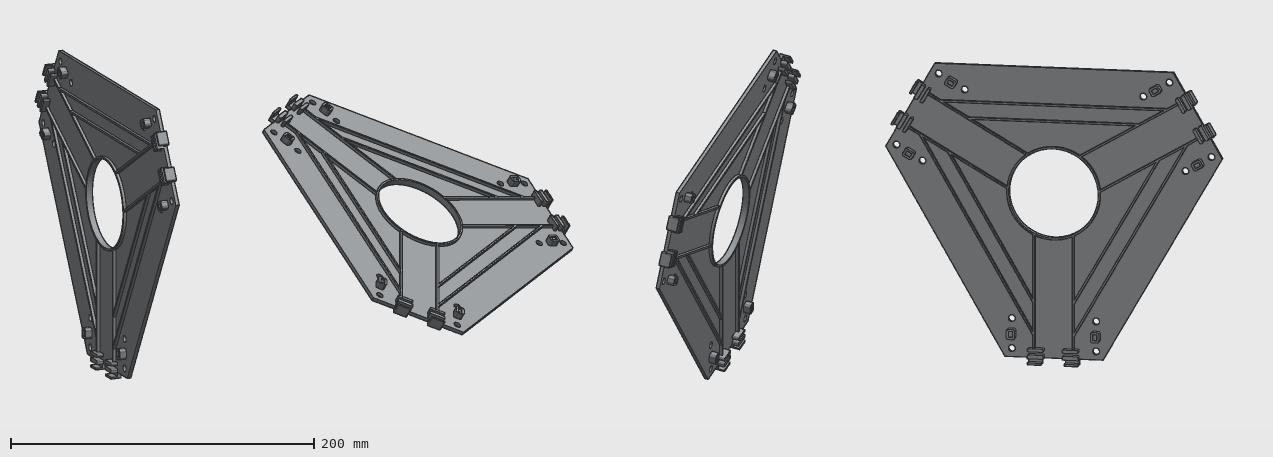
import cadquery as cq
import math

overall_width = 225.92
overall_height = 199.82
total_depth = 7.19
short_half = 32.9
plate_thickness = 2.5
bore_diameter = 60.15

COS30 = math.cos(math.radians(30))
SIN30 = math.sin(math.radians(30))
short_apothem = (overall_width / 2 - short_half * SIN30) / COS30
long_apothem = short_half * COS30 + short_apothem * SIN30

rib_height = 2.0
rib_width = 1.5
rib_draft = 3
rib_overlap = 0.5
ring_width = 1.4
ring_radius = bore_diameter / 2 + ring_width
leg_rib_inner = 12.5
leg_rib_outer = leg_rib_inner + rib_width
cross_rib_offsets = (48.4, 59.35)

clip_height = total_depth - plate_thickness
clip_outer = 17.0
clip_inner = 6.4
tongue_inner = 7.7
tongue_length = overall_height - long_apothem - short_apothem
lip_thickness = 1.4
edge_bar_width = 2.6
far_bar_start = 4.7
far_bar_width = 2.1
bar_corner = 0.8
lip_corner = 0.6

hole_diameter = 4.55
hole_x = 28.3
hole_edge_distances = (5.7, 25.9)
socket_edge_distance = 15.9
socket_width = 5.7
socket_length = 7.0
socket_corner = 1.5
socket_pocket_width = 2.7
socket_pocket_length = 3.9
socket_pocket_depth = 1.0

edge_z = -short_apothem
leg_angles = (0, 120, 240)


def face_plane(y=0):
    """Sketch plane with local x = X, local y = Z, extruding towards -Y."""
    return cq.Workplane("XZ", origin=(0, y, 0))


def box(x_min, x_max, z_min, z_max, height, draft=0):
    """Block standing on the plate face (Y = 0) and rising towards -Y."""
    return (
        face_plane()
        .center((x_min + x_max) / 2, (z_min + z_max) / 2)
        .rect(x_max - x_min, z_max - z_min)
        .extrude(height, taper=draft)
    )


def around(body, angle):
    return body.rotate((0, 0, 0), (0, 1, 0), angle)


def make_plate():
    corners = []
    for angle in leg_angles:
        turn = math.radians(angle)
        for x in (-short_half, short_half):
            corners.append((
                x * math.cos(turn) - edge_z * math.sin(turn),
                x * math.sin(turn) + edge_z * math.cos(turn),
            ))
    return face_plane(plate_thickness).polyline(corners).close().extrude(plate_thickness)


def make_leg_rib():
    far_bar_end = edge_z + far_bar_start + far_bar_width
    ring_end = -bore_diameter / 2 * COS30
    return box(leg_rib_inner, leg_rib_outer, far_bar_end - rib_overlap, ring_end, rib_height, rib_draft)


def make_cross_rib(offset):
    """Rib parallel to the top long edge, ending on the ribs of the two upper legs."""
    top = offset + rib_width / 2
    bottom = offset - rib_width / 2

    def half_length(z):
        return (z * COS30 - leg_rib_inner - rib_width / 2) / SIN30

    outline = [
        (-half_length(bottom), bottom),
        (half_length(bottom), bottom),
        (half_length(top), top),
        (-half_length(top), top),
    ]
    return face_plane().polyline(outline).close().extrude(rib_height, taper=rib_draft)


def make_clip():
    far_bar_z = edge_z + far_bar_start
    far_bar = box(clip_inner, clip_outer, far_bar_z, far_bar_z + far_bar_width, clip_height)
    far_bar = far_bar.edges("|Y").fillet(bar_corner)
    edge_bar = box(clip_inner, clip_outer, edge_z, edge_z + edge_bar_width, clip_height)
    edge_bar = edge_bar.edges("|Y and >Z").fillet(bar_corner)
    tongue_end = edge_z - tongue_length
    tongue = box(tongue_inner, clip_outer, tongue_end, edge_z + edge_bar_width, -plate_thickness)
    lip = box(tongue_inner, clip_outer, tongue_end, tongue_end + lip_thickness, clip_height)
    tongue = tongue.edges("|Y and <Z").fillet(lip_corner)
    lip = lip.edges("|Y and <Z").fillet(lip_corner)
    return far_bar.union(edge_bar).union(tongue).union(lip)


def make_socket():
    base = face_plane().center(hole_x, edge_z + socket_edge_distance)
    body = base.rect(socket_width, socket_length).extrude(clip_height)
    body = body.edges("|Y").fillet(socket_corner)
    pocket_floor = clip_height - socket_pocket_depth
    pocket = base.workplane(offset=pocket_floor).rect(socket_pocket_width, socket_pocket_length)
    pocket = pocket.extrude(socket_pocket_depth)
    return body.cut(pocket)


def make_hole_drills():
    points = [(hole_x, edge_z + distance) for distance in hole_edge_distances]
    circles = face_plane(plate_thickness).pushPoints(points).circle(hole_diameter / 2)
    return circles.extrude(plate_thickness)


half_leg = make_leg_rib().union(make_clip()).union(make_socket())
leg = half_leg.union(half_leg.mirror("YZ"))
for rib_offset in cross_rib_offsets:
    leg = leg.union(make_cross_rib(rib_offset))
drills = make_hole_drills()
drills = drills.union(drills.mirror("YZ"))

result = make_plate()
result = result.union(face_plane().circle(ring_radius).extrude(rib_height, taper=rib_draft))
for leg_angle in leg_angles:
    result = result.union(around(leg, leg_angle)).cut(around(drills, leg_angle))
bore = face_plane(plate_thickness).circle(bore_diameter / 2).extrude(total_depth)
result = result.cut(bore)